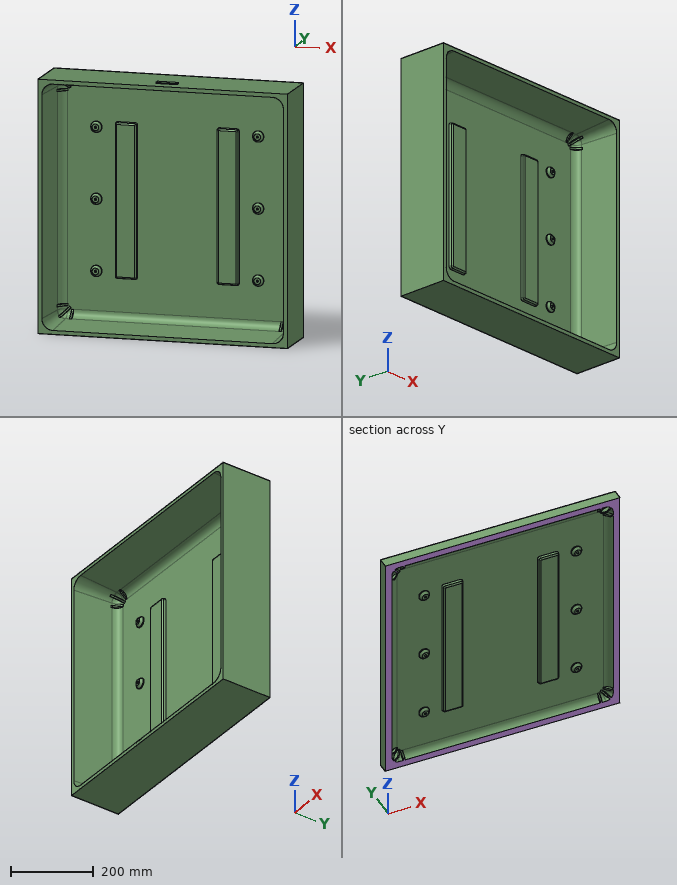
import cadquery as cq

BODY_SIDE = 628.5
BODY_DEPTH = 139.5
RIM_WIDTH = 10.0
FLOOR_THICKNESS = 12.5
FLOOR_Y = BODY_DEPTH - FLOOR_THICKNESS
WALL_DRAFT = 4
POCKET_CORNER_RADIUS = 28.0
COVE_RADIUS = 20.0

GUSSET_WIDTH = 5.0
GUSSET_LEG = 28.5
GUSSET_ROOT = 3.0
GUSSET_TIP_X = 275.0
GUSSET_TIP_Z = 277.0
SIDE_GUSSET_SHIFT = 11.5
DIAGONAL_GUSSET_SHIFT = 5.5

PAD_WIDTH = 56.0
PAD_LENGTH = 387.5
PAD_HEIGHT = 9.0
PAD_CENTER_X = 128.0
PAD_CORNER_RADIUS = 7.0
PAD_DRAFT = 15
PAD_BEVEL = 3.0

BOSS_DIAMETER = 28.0
BOSS_TOP_DIAMETER = 16.5
BOSS_FOOT_HEIGHT = 2.5
BOSS_HEIGHT = 9.0
BOSS_HOLE_DIAMETER = 5.0
BOSS_CENTER_X = 204.0
BOSS_PITCH_Z = 178.0

LABEL_LENGTH = 53.0
LABEL_WIDTH = 15.0
LABEL_HEIGHT = 2.5
LABEL_CENTER_Y = 40.0


def plane_at(y):
    """Workplane at depth y: local x is X, local y is Z and the normal points to -Y."""
    return cq.Workplane("XZ", origin=(0, y, 0))


def make_body():
    return plane_at(BODY_DEPTH).rect(BODY_SIDE, BODY_SIDE).extrude(BODY_DEPTH)


def make_pocket():
    """Drafted pocket with rounded corners and a cove all round the floor."""
    opening = BODY_SIDE - 2 * RIM_WIDTH
    outline = cq.Sketch().rect(opening, opening).vertices().fillet(POCKET_CORNER_RADIUS)
    pocket = plane_at(0).placeSketch(outline).extrude(-FLOOR_Y, taper=WALL_DRAFT)
    return pocket.faces(">Y").edges().fillet(COVE_RADIUS)


def make_gusset(tip_x, tip_z, angle):
    """Gusset rising from its floor tip in the direction given by angle, from +X towards +Z."""
    profile = [
        (0, FLOOR_Y),
        (GUSSET_LEG, FLOOR_Y - GUSSET_LEG),
        (GUSSET_LEG, FLOOR_Y + GUSSET_ROOT),
        (0, FLOOR_Y + GUSSET_ROOT),
    ]
    gusset = cq.Workplane("XY").polyline(profile).close().extrude(GUSSET_WIDTH / 2, both=True)
    return gusset.rotate((0, 0, 0), (0, 1, 0), -angle).translate((tip_x, 0, tip_z))


def make_gussets():
    """One corner's three gussets, mirrored into all four corners."""
    gussets = make_gusset(GUSSET_TIP_X, GUSSET_TIP_Z - SIDE_GUSSET_SHIFT, 0)
    gussets = gussets.union(make_gusset(GUSSET_TIP_X - SIDE_GUSSET_SHIFT, GUSSET_TIP_Z, 90))
    diagonal_x = GUSSET_TIP_X - DIAGONAL_GUSSET_SHIFT
    diagonal_z = GUSSET_TIP_Z - DIAGONAL_GUSSET_SHIFT
    gussets = gussets.union(make_gusset(diagonal_x, diagonal_z, 45))
    gussets = gussets.union(gussets.mirror("YZ"))
    return gussets.union(gussets.mirror("XY"))


def make_pad(x):
    outline = cq.Sketch().rect(PAD_WIDTH, PAD_LENGTH).vertices().fillet(PAD_CORNER_RADIUS)
    pad = plane_at(FLOOR_Y).center(x, 0).placeSketch(outline).extrude(PAD_HEIGHT, taper=PAD_DRAFT)
    return pad.faces("<Y").edges().chamfer(PAD_BEVEL)


def make_boss(x, z):
    """Half profile (radius, depth) turned about the boss axis, leaving the hole open."""
    hole_radius = BOSS_HOLE_DIAMETER / 2
    profile = [
        (hole_radius, FLOOR_Y),
        (BOSS_DIAMETER / 2, FLOOR_Y),
        (BOSS_DIAMETER / 2, FLOOR_Y - BOSS_FOOT_HEIGHT),
        (BOSS_TOP_DIAMETER / 2, FLOOR_Y - BOSS_HEIGHT),
        (hole_radius, FLOOR_Y - BOSS_HEIGHT),
    ]
    boss = cq.Workplane("XY").polyline(profile).close().revolve(360, (0, 0, 0), (0, 1, 0))
    return boss.translate((x, 0, z))


def make_label():
    top_face = cq.Workplane("XY", origin=(0, LABEL_CENTER_Y, BODY_SIDE / 2))
    return top_face.rect(LABEL_LENGTH, LABEL_WIDTH).extrude(LABEL_HEIGHT)


result = make_body().cut(make_pocket()).union(make_gussets())
for side in (-1, 1):
    result = result.union(make_pad(side * PAD_CENTER_X))
    for row in (-1, 0, 1):
        result = result.union(make_boss(side * BOSS_CENTER_X, row * BOSS_PITCH_Z))
result = result.union(make_label())